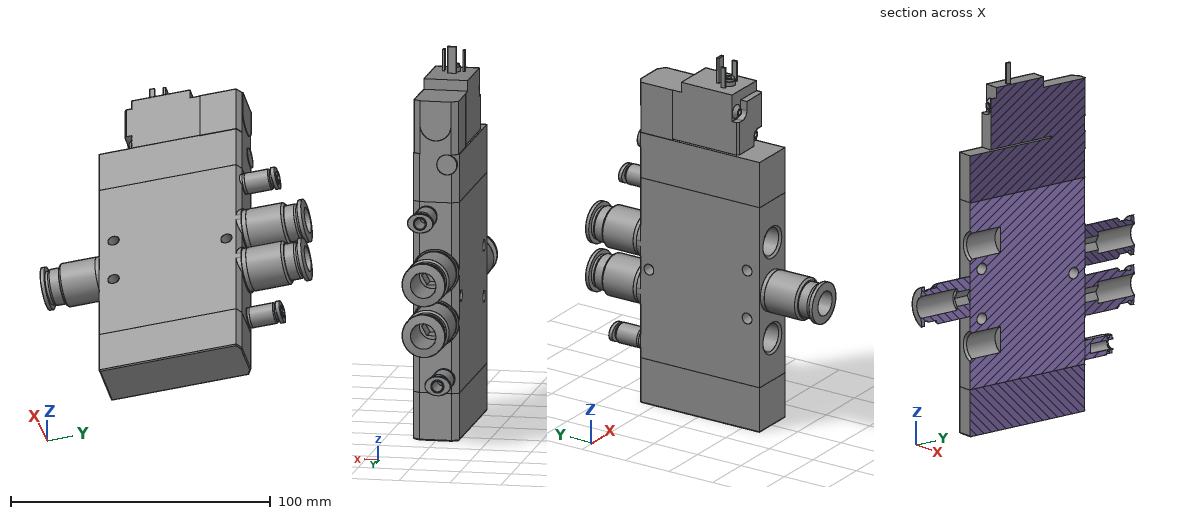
import cadquery as cq
import math

CUT_OVERSHOOT = 1.5

HOUSING_WIDTH = 18.0
HOUSING_DEPTH = 56.5
CAPPED_HEIGHT = 113.0
HOUSING_MID_Z = CAPPED_HEIGHT / 2
CAP_HEIGHT = 18.9
LOWER_SEAM_Z = CAP_HEIGHT
UPPER_SEAM_Z = CAPPED_HEIGHT - CAP_HEIGHT
BASE_BEVEL = 0.5
REAR_BEVEL_X = 2.7
REAR_BEVEL_Y = 1.6
PAD_RISE = 0.3
PAD_FACE_Y = HOUSING_DEPTH + PAD_RISE

PORT_PITCH = 20.0
PORT_DIAMETER = 11.5
PORT_MOUTH_DIAMETER = 13.2
PORT_DEPTH = 14.8
CROSS_HOLE_DIAMETER = 4.5
FRONT_CROSS_HOLE_Y = 5.8
REAR_CROSS_HOLE_Y = 51.0
LARGE_PAD_DIAMETER = 18.1

PILOT_FITTING_X = 3.4
PILOT_FITTING_RISE = 32.0
BUTTON_DIAMETER = 7.9
BUTTON_X = -4.5
BUTTON_Z = CAPPED_HEIGHT - BUTTON_DIAMETER / 2

HEAD_WIDTH = 17.5
HEAD_FRONT_Y = 40.2
HEAD_TOP_Z = 134.0
HEAD_PLATE_RADIUS = HEAD_WIDTH / 2 - REAR_BEVEL_X
HEAD_PLATE_ARC_Z = 124.5

BOX_WIDTH = 17.2
BOX_GAP = 0.5
BOX_BASE_Z = CAPPED_HEIGHT + BOX_GAP
BOX_TOP_Z = 138.1
BOX_STEP_Y = 36.2
BOX_FACE_Y = 12.9
COVER_FACE_Y = 10.1
COVER_BEVEL = 0.7
COVER_MID_Z = (CAPPED_HEIGHT + HEAD_TOP_Z) / 2

SCREW_X = 5.6
SCREW_RISE = 6.7
SCREW_DIAMETER = 5.6
SCREW_CROWN_DIAMETER = 3.0
SCREW_HEAD_HEIGHT = 1.5
SCREW_SOCKET_DIAMETER = 2.0
SCREW_SOCKET_DEPTH = 1.0
POCKET_RADIUS = 3.1

EARTH_BLADE_WIDTH = 3.3
EARTH_BLADE_THICKNESS = 1.0
EARTH_BLADE_Y = 24.0
EARTH_BLADE_TOP_Z = 148.5
SIDE_BLADE_WIDTH = 2.0
SIDE_BLADE_THICKNESS = 0.7
SIDE_BLADE_X = 4.0
SIDE_BLADE_TOP_Z = 146.4
POST_Y = 19.9
POST_DIAMETER = 5.0
POST_HEIGHT = 1.8
POST_NECK_DIAMETER = 4.2
POST_NECK_HEIGHT = 0.9
POST_HOLE_DIAMETER = 2.0

FITTING_LENGTH = 24.2
FITTING_SEAT_DIAMETER = 17.0
FITTING_DIAMETER = 17.1
FITTING_SEAT_LENGTH = 1.8
FITTING_BARREL_LENGTH = 15.7
FITTING_SHOULDER_LENGTH = 16.6
FITTING_SHOULDER_DIAMETER = 15.5
FITTING_SLEEVE_DIAMETER = 14.3
FITTING_SLEEVE_LENGTH = 20.5
FITTING_SLEEVE_END = 21.2
FITTING_NECK_DIAMETER = 13.2
FITTING_COLLAR_START = 22.3
FITTING_COLLAR_DIAMETER = 16.8
FITTING_COLLAR_CONE = 0.5
FITTING_BORE_DIAMETER = 10.0
FITTING_BORE_DEPTH = 17.8
FITTING_HEX_ACROSS_FLATS = 7.1

PILOT_LENGTH = 13.5
PILOT_DIAMETER = 8.2
PILOT_SEAT_DIAMETER = 8.0
PILOT_SEAT_LENGTH = 0.9
PILOT_BARREL_LENGTH = 10.7
PILOT_EDGE_BEVEL = 0.5
PILOT_NECK_DIAMETER = 5.6
PILOT_COLLAR_START = 11.6
PILOT_COLLAR_WIDTH = 10.0
PILOT_COLLAR_HEIGHT = 7.4
PILOT_COLLAR_END = 13.0
PILOT_TIP_DIAMETER = 5.0
PILOT_BORE_DIAMETER = 4.2
PILOT_BORE_DEPTH = 10.8


def block(width, y_front, y_rear, z_bottom, z_top):
    """A box centred on X = 0, given by its limits along Y and Z."""
    return (
        cq.Workplane("XY", origin=(0, (y_front + y_rear) / 2, z_bottom))
        .box(width, y_rear - y_front, z_top - z_bottom, centered=(True, True, False))
    )


def rod_y(x, z, y_front, y_rear, diameter):
    """A round rod along +Y."""
    return cq.Workplane("XZ", origin=(x, y_front, z)).circle(diameter / 2).extrude(y_front - y_rear)


def turned(profile):
    """A body of revolution about Z from (radius, height) points."""
    return cq.Workplane("XZ").polyline(profile).close().revolve(360, (0, 0), (0, 1))


def bevelled_block(width, y_front, z_bottom, z_top):
    """A block that ends at the housing's rear face, with its upright rear edges bevelled."""
    half = width / 2
    return (
        cq.Workplane("XY", origin=(0, 0, z_bottom))
        .moveTo(-half, y_front)
        .lineTo(half, y_front)
        .lineTo(half, HOUSING_DEPTH - REAR_BEVEL_Y)
        .lineTo(half - REAR_BEVEL_X, HOUSING_DEPTH)
        .lineTo(REAR_BEVEL_X - half, HOUSING_DEPTH)
        .lineTo(-half, HOUSING_DEPTH - REAR_BEVEL_Y)
        .close()
        .extrude(z_top - z_bottom)
    )



def housing_pads():
    """Round pads on the rear face, one under each rear fitting."""
    places = [(0, HOUSING_MID_Z + side * PORT_PITCH / 2, LARGE_PAD_DIAMETER) for side in (-1, 1)]
    places += [
        (side * PILOT_FITTING_X, HOUSING_MID_Z + side * PILOT_FITTING_RISE, PILOT_DIAMETER)
        for side in (-1, 1)
    ]
    pads = cq.Workplane("XY")
    for x, z, diameter in places:
        pads = pads.add(rod_y(x, z, HOUSING_DEPTH - REAR_BEVEL_Y, PAD_FACE_Y, diameter))
    sides = block(HOUSING_WIDTH, 0, PAD_FACE_Y, LOWER_SEAM_Z, UPPER_SEAM_Z)
    return pads.combine().intersect(sides)


def front_port(z):
    """Cutting tool for an open port with a tapered mouth."""
    mouth_depth = (PORT_MOUTH_DIAMETER - PORT_DIAMETER) / 2
    profile = [
        (0, 0),
        (PORT_MOUTH_DIAMETER / 2, 0),
        (PORT_DIAMETER / 2, mouth_depth),
        (PORT_DIAMETER / 2, PORT_DEPTH),
        (0, PORT_DEPTH),
    ]
    return turned(profile).rotate((0, 0, 0), (1, 0, 0), -90).translate((0, 0, z))


def cross_holes():
    """Cutting tool for the three mounting holes through the housing's width."""
    centres = [
        (FRONT_CROSS_HOLE_Y, HOUSING_MID_Z + PORT_PITCH / 2),
        (FRONT_CROSS_HOLE_Y, HOUSING_MID_Z - PORT_PITCH / 2),
        (REAR_CROSS_HOLE_Y, HOUSING_MID_Z),
    ]
    half_length = HOUSING_WIDTH / 2 + CUT_OVERSHOOT
    return (
        cq.Workplane("YZ")
        .pushPoints(centres)
        .circle(CROSS_HOLE_DIAMETER / 2)
        .extrude(half_length, both=True)
    )


def make_housing():
    housing = bevelled_block(HOUSING_WIDTH, 0, LOWER_SEAM_Z, UPPER_SEAM_Z).union(housing_pads())
    for side in (-1, 1):
        housing = housing.cut(front_port(HOUSING_MID_Z + side * PORT_PITCH))
    return housing.cut(cross_holes())



def make_lower_cap():
    cap = bevelled_block(HOUSING_WIDTH, 0, 0, LOWER_SEAM_Z)
    return cap.faces("<Z").chamfer(BASE_BEVEL)



def pilot_head():
    head = bevelled_block(HEAD_WIDTH, HEAD_FRONT_Y, CAPPED_HEIGHT, HEAD_TOP_Z)
    plate = (
        cq.Workplane("XZ", origin=(0, HOUSING_DEPTH, 0))
        .moveTo(-HEAD_PLATE_RADIUS, HEAD_TOP_Z)
        .lineTo(-HEAD_PLATE_RADIUS, HEAD_PLATE_ARC_Z)
        .threePointArc(
            (0, HEAD_PLATE_ARC_Z - HEAD_PLATE_RADIUS),
            (HEAD_PLATE_RADIUS, HEAD_PLATE_ARC_Z),
        )
        .lineTo(HEAD_PLATE_RADIUS, HEAD_TOP_Z)
        .close()
        .extrude(-PAD_RISE)
    )
    return head.union(plate)


def screw_pocket():
    """Cutting tool for the upper left cover corner: open up and left, round about the screw."""
    left = -BOX_WIDTH / 2 - CUT_OVERSHOOT
    screw_z = COVER_MID_Z + SCREW_RISE
    arc_reach = POCKET_RADIUS * math.sqrt(0.5)
    return (
        cq.Workplane("XZ", origin=(0, BOX_FACE_Y, 0))
        .moveTo(left, HEAD_TOP_Z + CUT_OVERSHOOT)
        .lineTo(left, screw_z - POCKET_RADIUS)
        .lineTo(-SCREW_X, screw_z - POCKET_RADIUS)
        .threePointArc(
            (-SCREW_X + arc_reach, screw_z - arc_reach),
            (-SCREW_X + POCKET_RADIUS, screw_z),
        )
        .lineTo(-SCREW_X + POCKET_RADIUS, HEAD_TOP_Z + CUT_OVERSHOOT)
        .close()
        .extrude(BOX_FACE_Y - COVER_FACE_Y + CUT_OVERSHOOT)
    )


def screw_head():
    """A conical socket screw head on the box face, at the upper left corner."""
    crown_radius = SCREW_CROWN_DIAMETER / 2
    socket_radius = SCREW_SOCKET_DIAMETER / 2
    socket_floor = SCREW_HEAD_HEIGHT - SCREW_SOCKET_DEPTH
    profile = [
        (0, 0),
        (SCREW_DIAMETER / 2, 0),
        (crown_radius, SCREW_HEAD_HEIGHT),
        (socket_radius, SCREW_HEAD_HEIGHT),
        (socket_radius, socket_floor),
        (0, socket_floor),
    ]
    head = turned(profile).rotate((0, 0, 0), (1, 0, 0), 90)
    return head.translate((-SCREW_X, BOX_FACE_Y, COVER_MID_Z + SCREW_RISE))


def half_turn(shape):
    """The same shape turned to the opposite corner of the cover."""
    return shape.rotate((0, 0, COVER_MID_Z), (0, 1, COVER_MID_Z), 180)


def contacts():
    """The earth blade, the two side blades and the stepped centre post."""
    parts = block(
        EARTH_BLADE_WIDTH,
        EARTH_BLADE_Y - EARTH_BLADE_THICKNESS / 2,
        EARTH_BLADE_Y + EARTH_BLADE_THICKNESS / 2,
        BOX_TOP_Z,
        EARTH_BLADE_TOP_Z,
    )
    for side in (-1, 1):
        blade = block(
            SIDE_BLADE_THICKNESS,
            POST_Y - SIDE_BLADE_WIDTH / 2,
            POST_Y + SIDE_BLADE_WIDTH / 2,
            BOX_TOP_Z,
            SIDE_BLADE_TOP_Z,
        )
        parts = parts.add(blade.translate((side * SIDE_BLADE_X, 0, 0)))
    post_top = POST_HEIGHT + POST_NECK_HEIGHT
    post = turned([
        (POST_HOLE_DIAMETER / 2, 0),
        (POST_DIAMETER / 2, 0),
        (POST_DIAMETER / 2, POST_HEIGHT),
        (POST_NECK_DIAMETER / 2, POST_HEIGHT),
        (POST_NECK_DIAMETER / 2, post_top),
        (POST_HOLE_DIAMETER / 2, post_top),
    ])
    return parts.add(post.translate((0, POST_Y, BOX_TOP_Z)))


def connector_box():
    box = block(BOX_WIDTH, BOX_FACE_Y, HEAD_FRONT_Y, BOX_BASE_Z, HEAD_TOP_Z)
    box = box.union(block(BOX_WIDTH, BOX_FACE_Y, BOX_STEP_Y, HEAD_TOP_Z, BOX_TOP_Z))
    cover = block(BOX_WIDTH, COVER_FACE_Y, BOX_FACE_Y, BOX_BASE_Z, HEAD_TOP_Z)
    cover = cover.faces("<Y").edges("|Z").chamfer(COVER_BEVEL)
    cover = cover.cut(screw_pocket()).cut(half_turn(screw_pocket()))
    box = box.union(cover).union(screw_head()).union(half_turn(screw_head()))
    for contact in contacts().vals():
        box = box.union(cq.Workplane(contact))
    return box


def override_button():
    """A round button standing out of the rear of the cap."""
    return rod_y(BUTTON_X, BUTTON_Z, HOUSING_DEPTH - REAR_BEVEL_Y, PAD_FACE_Y, BUTTON_DIAMETER)


def make_upper_cap():
    cap = bevelled_block(HOUSING_WIDTH, 0, UPPER_SEAM_Z, CAPPED_HEIGHT)
    return cap.union(override_button()).union(pilot_head()).union(connector_box())



def upright_fitting():
    """A large push-in fitting with a release collar and a hexagon at the bottom of its bore."""
    seat_radius = FITTING_SEAT_DIAMETER / 2
    barrel_radius = FITTING_DIAMETER / 2
    sleeve_radius = FITTING_SLEEVE_DIAMETER / 2
    neck_radius = FITTING_NECK_DIAMETER / 2
    collar_radius = FITTING_COLLAR_DIAMETER / 2
    bore_radius = FITTING_BORE_DIAMETER / 2
    bore_floor = FITTING_LENGTH - FITTING_BORE_DEPTH
    fitting = turned([
        (0, 0),
        (seat_radius, 0),
        (seat_radius, FITTING_SEAT_LENGTH),
        (barrel_radius, FITTING_SEAT_LENGTH),
        (barrel_radius, FITTING_BARREL_LENGTH),
        (FITTING_SHOULDER_DIAMETER / 2, FITTING_SHOULDER_LENGTH),
        (sleeve_radius, FITTING_SHOULDER_LENGTH),
        (sleeve_radius, FITTING_SLEEVE_LENGTH),
        (neck_radius, FITTING_SLEEVE_END),
        (neck_radius, FITTING_COLLAR_START),
        (collar_radius, FITTING_COLLAR_START),
        (collar_radius, FITTING_LENGTH - FITTING_COLLAR_CONE),
        (bore_radius, FITTING_LENGTH),
        (bore_radius, bore_floor),
        (0, bore_floor),
    ])
    across_corners = FITTING_HEX_ACROSS_FLATS / math.cos(math.pi / 6)
    hexagon = cq.Workplane("XY").polygon(6, across_corners).extrude(bore_floor)
    return fitting.cut(hexagon)


def upright_pilot_fitting():
    """A small push-in fitting with an oval release collar."""
    seat_radius = PILOT_SEAT_DIAMETER / 2
    radius = PILOT_DIAMETER / 2
    neck_radius = PILOT_NECK_DIAMETER / 2
    fitting = turned([
        (0, 0),
        (seat_radius, 0),
        (seat_radius, PILOT_SEAT_LENGTH),
        (radius, PILOT_SEAT_LENGTH),
        (radius, PILOT_BARREL_LENGTH - PILOT_EDGE_BEVEL),
        (radius - PILOT_EDGE_BEVEL, PILOT_BARREL_LENGTH),
        (neck_radius, PILOT_BARREL_LENGTH),
        (neck_radius, PILOT_COLLAR_START),
        (PILOT_TIP_DIAMETER / 2, PILOT_COLLAR_START),
        (PILOT_TIP_DIAMETER / 2, PILOT_LENGTH),
        (0, PILOT_LENGTH),
    ])
    collar = (
        cq.Workplane("XY", origin=(0, 0, PILOT_COLLAR_START))
        .ellipse(PILOT_COLLAR_WIDTH / 2, PILOT_COLLAR_HEIGHT / 2)
        .extrude(PILOT_COLLAR_END - PILOT_COLLAR_START)
    )
    return fitting.union(collar).faces(">Z").workplane().hole(PILOT_BORE_DIAMETER, PILOT_BORE_DEPTH)


def facing_front(fitting, x, z):
    return fitting.rotate((0, 0, 0), (1, 0, 0), 90).translate((x, 0, z))


def facing_rear(fitting, x, z):
    return fitting.rotate((0, 0, 0), (1, 0, 0), -90).translate((x, PAD_FACE_Y, z))


def make_fittings():
    """One front and two rear fittings of the same kind."""
    fittings = [facing_front(upright_fitting(), 0, HOUSING_MID_Z)]
    for side in (-1, 1):
        rear_z = HOUSING_MID_Z + side * PORT_PITCH / 2
        fittings.append(facing_rear(upright_fitting(), 0, rear_z))
    return fittings


def make_pilot_fittings():
    """The upper pilot fitting sits right of the middle plane, the lower one left."""
    fittings = []
    for side in (-1, 1):
        z = HOUSING_MID_Z + side * PILOT_FITTING_RISE
        fittings.append(facing_rear(upright_pilot_fitting(), side * PILOT_FITTING_X, z))
    return fittings


housing = make_housing()
lower_cap = make_lower_cap()
upper_cap = make_upper_cap()
fittings = make_fittings()
pilot_fittings = make_pilot_fittings()

result = cq.Compound.makeCompound(
    [
        housing.val(),
        lower_cap.val(),
        upper_cap.val(),
        *[fitting.val() for fitting in fittings],
        *[fitting.val() for fitting in pilot_fittings],
    ]
)